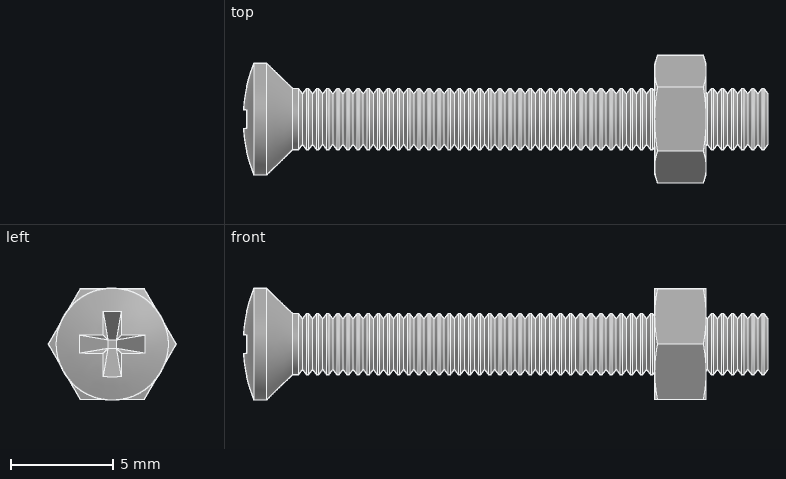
import cadquery as cq
import math

overall_length = 25.7
head_diameter = 5.5
thread_diameter = 3.0
root_diameter = 2.5
dome_apex = -0.03
rim_start = 0.51
rim_end = 1.13
cone_end = 2.42
shank_end = 2.7
groove_count = 46
crest_width = 0.1

recess_length = 3.45
recess_width = 0.93
recess_floor_width = 0.4
recess_depth = 2.25

nut_start = 20.15
nut_thickness = 2.52
nut_across_corners = 6.27
nut_chamfer_angle = 18.0

head_radius = head_diameter / 2
thread_radius = thread_diameter / 2
root_radius = root_diameter / 2

pitch = (overall_length - shank_end + crest_width / 2) / (groove_count + 0.5)
flank_length = (pitch - crest_width) / 2


def screw_blank():
    """Revolved screw with ring-shaped V grooves as the thread."""
    dome_height = rim_start - dome_apex
    dome_radius = (head_radius**2 + dome_height**2) / (2 * dome_height)
    mid_angle = math.asin(head_radius / dome_radius) / 2
    dome_middle = (
        dome_apex + dome_radius * (1 - math.cos(mid_angle)),
        dome_radius * math.sin(mid_angle),
    )
    profile = (
        cq.Workplane("XY")
        .moveTo(dome_apex, 0)
        .threePointArc(dome_middle, (rim_start, head_radius))
        .lineTo(rim_end, head_radius)
        .lineTo(cone_end, thread_radius)
        .lineTo(shank_end, thread_radius)
    )
    for groove in range(groove_count):
        groove_start = shank_end + groove * pitch
        profile = (
            profile.lineTo(groove_start + flank_length, root_radius)
            .lineTo(groove_start + 2 * flank_length, thread_radius)
            .lineTo(groove_start + pitch, thread_radius)
        )
    profile = profile.lineTo(overall_length, root_radius).lineTo(overall_length, 0).close()
    return profile.revolve(360, (0, 0, 0), (1, 0, 0))


def recess_wedge(size_y, size_z):
    """One arm pair of the cross recess, from the dome apex plane to the floor."""
    return (
        cq.Workplane("YZ", origin=(dome_apex, 0, 0))
        .rect(size_y, size_z)
        .workplane(offset=recess_depth)
        .rect(recess_floor_width, recess_floor_width)
        .loft(ruled=True)
    )


def make_screw():
    return (
        screw_blank()
        .cut(recess_wedge(recess_length, recess_width))
        .cut(recess_wedge(recess_width, recess_length))
    )


def make_nut():
    """Hexagon nut with corners on +Y and -Y and both faces chamfered."""
    corner_radius = nut_across_corners / 2
    chamfer_radius = corner_radius * math.cos(math.pi / 6)
    chamfer_length = (corner_radius - chamfer_radius) * math.tan(math.radians(nut_chamfer_angle))
    nut_end = nut_start + nut_thickness
    hexagon = (
        cq.Workplane("YZ", origin=(nut_start, 0, 0))
        .polygon(6, nut_across_corners)
        .extrude(nut_thickness)
    )
    chamfer_envelope = (
        cq.Workplane("XY")
        .moveTo(nut_start, 0)
        .lineTo(nut_start, chamfer_radius)
        .lineTo(nut_start + chamfer_length, corner_radius)
        .lineTo(nut_end - chamfer_length, corner_radius)
        .lineTo(nut_end, chamfer_radius)
        .lineTo(nut_end, 0)
        .close()
        .revolve(360, (0, 0, 0), (1, 0, 0))
    )
    bore = (
        cq.Workplane("YZ", origin=(nut_start, 0, 0))
        .circle(thread_radius)
        .extrude(nut_thickness)
    )
    return hexagon.intersect(chamfer_envelope).cut(bore)


screw = make_screw()
nut = make_nut()

result = cq.Compound.makeCompound([screw.val(), nut.val()])